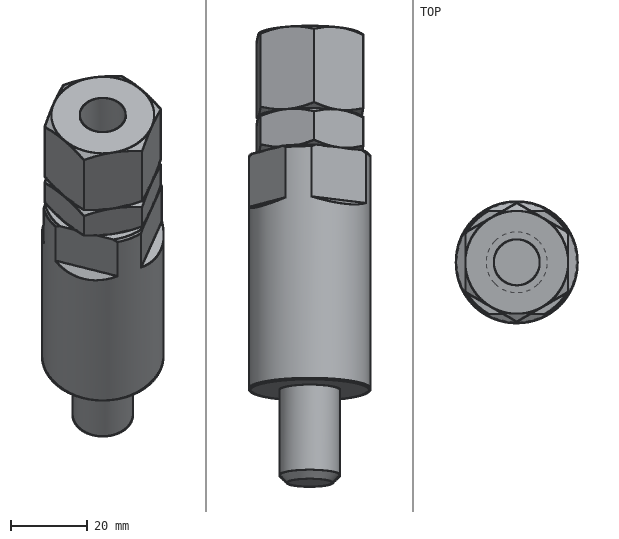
import cadquery as cq
import math

total_height = 119.5
stud_length = 24.7
end_nut_height = 22.0
lock_nut_height = 10.0
end_nut_base = total_height - end_nut_height
lock_nut_base = end_nut_base - lock_nut_height
body_height = lock_nut_base - stud_length

body_diameter = 32.0
body_top_chamfer = 0.6
body_bottom_chamfer = 0.4
stud_diameter = 16.0
stud_chamfer = 2.0

across_flats = 27.0
flat_length = 14.0
bevel_angle = math.radians(30)

bore_diameter = 12.1


def make_housing():
    """Round housing with a stud below and four wrench flats at its top."""
    housing = (
        cq.Workplane("XY")
        .workplane(offset=stud_length)
        .circle(body_diameter / 2)
        .extrude(body_height)
        .faces(">Z").chamfer(body_top_chamfer)
        .faces("<Z").chamfer(body_bottom_chamfer)
    )
    stud = (
        cq.Workplane("XY")
        .circle(stud_diameter / 2)
        .extrude(stud_length)
        .faces("<Z").chamfer(stud_chamfer)
    )
    housing = housing.union(stud)
    flat_cutter = make_flat_cutter()
    for side in range(4):
        housing = housing.cut(flat_cutter.rotate((0, 0, 0), (0, 0, 1), 90 * side))
    return housing


def make_flat_cutter():
    """Cutter for the +X wrench flat, with a base that slopes down outwards."""
    flat_x = across_flats / 2
    outer_x = body_diameter / 2
    flat_base = lock_nut_base - flat_length
    slope_drop = (outer_x - flat_x) * math.tan(bevel_angle)
    return (
        cq.Workplane("XZ")
        .moveTo(flat_x, lock_nut_base)
        .lineTo(flat_x, flat_base)
        .lineTo(outer_x, flat_base - slope_drop)
        .lineTo(outer_x, lock_nut_base)
        .close()
        .extrude(body_diameter / 2, both=True)
    )


def make_hexagon(base, height):
    """Hexagon with flats facing X and both ends bevelled by a cone."""
    corner_diameter = across_flats / math.cos(math.pi / 6)
    flat_radius = across_flats / 2
    corner_radius = corner_diameter / 2
    bevel_drop = (corner_radius - flat_radius) * math.tan(bevel_angle)
    prism = (
        cq.Workplane("XY")
        .polygon(6, corner_diameter)
        .extrude(height)
        .rotate((0, 0, 0), (0, 0, 1), 30)
    )
    envelope = (
        cq.Workplane("XZ")
        .lineTo(flat_radius, 0)
        .lineTo(corner_radius, bevel_drop)
        .lineTo(corner_radius, height - bevel_drop)
        .lineTo(flat_radius, height)
        .lineTo(0, height)
        .close()
        .revolve(360, (0, 0, 0), (0, 1, 0))
    )
    return prism.intersect(envelope).translate((0, 0, base))


def make_lock_nut():
    """Thin hexagon that closes the lower end of the bore."""
    return make_hexagon(lock_nut_base, lock_nut_height)


def make_end_nut():
    """Tall hexagon with a bore through its full height."""
    return (
        make_hexagon(end_nut_base, end_nut_height)
        .faces(">Z").workplane()
        .hole(bore_diameter)
    )


housing = make_housing()
lock_nut = make_lock_nut()
end_nut = make_end_nut()

bodies = [housing, lock_nut, end_nut]
result = cq.Compound.makeCompound([body.solids().val() for body in bodies])